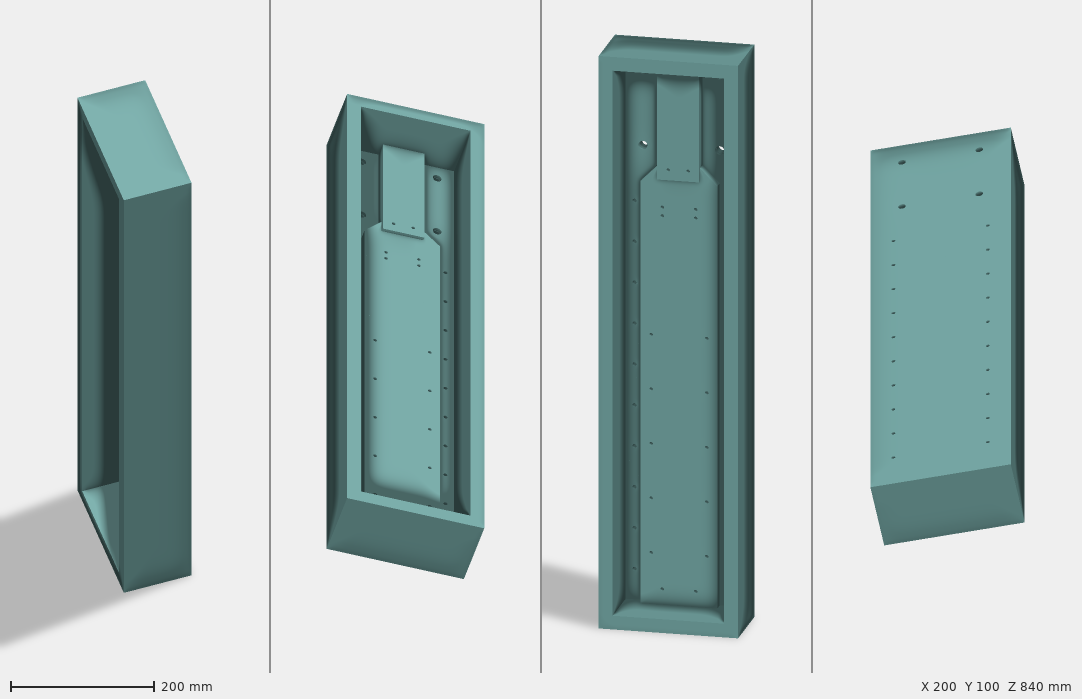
import cadquery as cq

WIDTH = 200.0
DEPTH = 100.0
HEIGHT = 840.0
WALL = 20.0
BACK_THICKNESS = WALL

MAIN_PANEL_WIDTH = 110.0
MAIN_PANEL_TOP = 244.5
MAIN_PANEL_THICKNESS = 15.0
UPPER_PANEL_WIDTH = 60.5
UPPER_PANEL_BOTTOM = 225.0
UPPER_PANEL_THICKNESS = 20.0

MOUNTING_DIAMETER = 11.0
COUNTERBORE_DIAMETER = 13.0
COUNTERBORE_DEPTH = 5.0
MOUNTING_SPACING = 110.0
MOUNTING_ROWS = 2
MOUNTING_CENTER_Z = 322.5

SIDE_DIAMETER = 5.5
SIDE_SPACING_X = 134.0
SIDE_SPAN_Z = 540.0
SIDE_COUNT = 10
SIDE_CENTER_Z = -85.0

SCREW_DIAMETER = 5.0
SCREW_DEPTH = 13.0
RAIL_SPACING_X = 80.0
RAIL_SPAN_Z = 320.0
RAIL_COUNT = 5
RAIL_CENTER_Z = -165.0
BRACKET_SPACING_X = 48.0
BRACKET_ROWS_Z = (183.0, 170.5, -377.0)
UPPER_SCREW_SPACING_X = 28.5
UPPER_SCREW_Z = 240.0

INNER_WIDTH = WIDTH - 2 * WALL
INNER_HEIGHT = HEIGHT - 2 * WALL
FLOOR_Y = DEPTH / 2 - BACK_THICKNESS
MAIN_PANEL_Y = FLOOR_Y - MAIN_PANEL_THICKNESS
UPPER_PANEL_Y = FLOOR_Y - UPPER_PANEL_THICKNESS
MAIN_PANEL_CHAMFER = (MAIN_PANEL_WIDTH - UPPER_PANEL_WIDTH) / 2


def tray():
    """Box with a rectangular cavity that leaves the walls and the back."""
    cavity_depth = DEPTH - BACK_THICKNESS
    return (
        cq.Workplane("XY")
        .box(WIDTH, DEPTH, HEIGHT)
        .faces("<Y")
        .workplane(centerOption="CenterOfBoundBox")
        .rect(INNER_WIDTH, INNER_HEIGHT)
        .cutBlind(-cavity_depth)
    )


def panel(width, bottom, top, thickness):
    """Slab centred in X that stands on the inner face of the back."""
    return (
        cq.Workplane("XZ", origin=(0, FLOOR_Y, (bottom + top) / 2))
        .rect(width, top - bottom)
        .extrude(thickness)
    )


def mirrored_pairs(spacing_x, rows_z):
    """Points at equal distances left and right of the centre in each row."""
    return [(side * spacing_x / 2, z) for z in rows_z for side in (-1, 1)]


def row_heights(center_z, span, count):
    """Evenly spaced heights that cover the span, symmetric about center_z."""
    pitch = span / (count - 1)
    lowest_z = center_z - span / 2
    return [lowest_z + pitch * i for i in range(count)]


def hole_pins(points, diameter, start_y, depth):
    """Cylinders that run from start_y towards +Y, used to cut holes."""
    return (
        cq.Workplane("XZ", origin=(0, start_y, 0))
        .pushPoints(points)
        .circle(diameter / 2)
        .extrude(-depth)
    )


main_panel = panel(
    MAIN_PANEL_WIDTH, -INNER_HEIGHT / 2, MAIN_PANEL_TOP, MAIN_PANEL_THICKNESS
).edges("|Y and >Z").chamfer(MAIN_PANEL_CHAMFER)
upper_panel = panel(
    UPPER_PANEL_WIDTH, UPPER_PANEL_BOTTOM, INNER_HEIGHT / 2, UPPER_PANEL_THICKNESS
)

mounting_points = mirrored_pairs(
    MOUNTING_SPACING, row_heights(MOUNTING_CENTER_Z, MOUNTING_SPACING, MOUNTING_ROWS)
)
side_points = mirrored_pairs(
    SIDE_SPACING_X, row_heights(SIDE_CENTER_Z, SIDE_SPAN_Z, SIDE_COUNT)
)
main_screw_points = mirrored_pairs(
    RAIL_SPACING_X, row_heights(RAIL_CENTER_Z, RAIL_SPAN_Z, RAIL_COUNT)
) + mirrored_pairs(BRACKET_SPACING_X, BRACKET_ROWS_Z)
upper_screw_points = mirrored_pairs(UPPER_SCREW_SPACING_X, (UPPER_SCREW_Z,))

result = (
    tray()
    .union(main_panel)
    .union(upper_panel)
    .cut(hole_pins(mounting_points, MOUNTING_DIAMETER, FLOOR_Y, BACK_THICKNESS))
    .cut(hole_pins(mounting_points, COUNTERBORE_DIAMETER, FLOOR_Y, COUNTERBORE_DEPTH))
    .cut(hole_pins(side_points, SIDE_DIAMETER, FLOOR_Y, BACK_THICKNESS))
    .cut(hole_pins(main_screw_points, SCREW_DIAMETER, MAIN_PANEL_Y, SCREW_DEPTH))
    .cut(hole_pins(upper_screw_points, SCREW_DIAMETER, UPPER_PANEL_Y, SCREW_DEPTH))
)